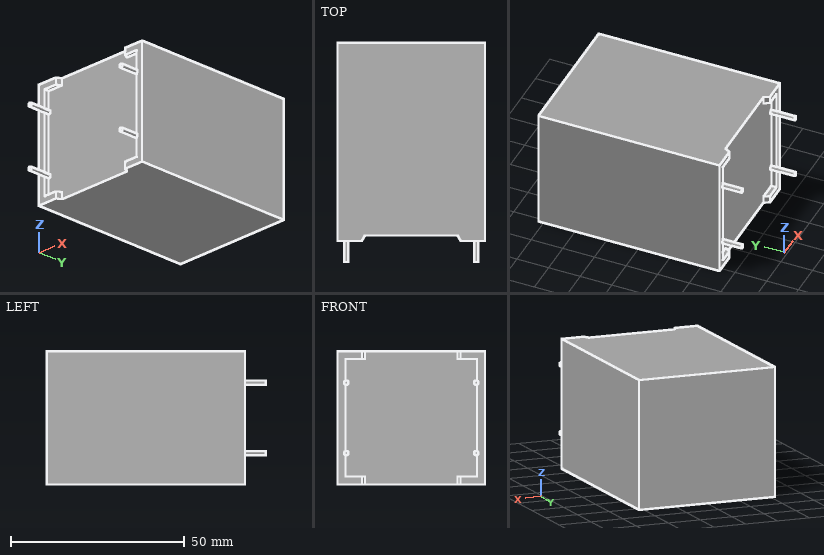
import cadquery as cq

WIDTH = 42.6
HEIGHT = 38.5
TOTAL_LENGTH = 63.3
PIN_LENGTH = 6.0
HOUSING_LENGTH = TOTAL_LENGTH - PIN_LENGTH

RECESS_DEPTH = 1.65
SIDE_WALL = 2.4
FOOT_WALL = 2.3
FOOT_TIP = 7.0
FOOT_ROOT = 8.0

PIN_DIAMETER = 1.25
PIN_PITCH_X = 37.5
PIN_PITCH_Z = 20.3
PIN_EMBED = 3.15

PIN_TIP_Y = -TOTAL_LENGTH / 2
FEET_Y = PIN_TIP_Y + PIN_LENGTH
FLOOR_Y = FEET_Y + RECESS_DEPTH
PIN_ROOT_Y = FLOOR_Y + PIN_EMBED

PIN_PLACES = [
    (side_x * PIN_PITCH_X / 2, side_z * PIN_PITCH_Z / 2)
    for side_x in (-1, 1)
    for side_z in (-1, 1)
]
INTEGRAL_PIN_PLACE = PIN_PLACES[0]
LOOSE_PIN_PLACES = PIN_PLACES[1:]


def make_pin(x, z):
    """Round pin along Y, from its tip to its embedded root."""
    return cq.Workplane(
        cq.Solid.makeCylinder(
            PIN_DIAMETER / 2,
            PIN_ROOT_Y - PIN_TIP_Y,
            cq.Vector(x, PIN_TIP_Y, z),
            cq.Vector(0, 1, 0),
        )
    )


def make_block():
    """Plain box of the housing, feet included."""
    return cq.Workplane("XY").box(WIDTH, HOUSING_LENGTH, HEIGHT).translate(
        (0, FEET_Y + HOUSING_LENGTH / 2, 0)
    )


def make_recess():
    """Rectangular pocket in the pin end."""
    return cq.Workplane("XY").box(
        WIDTH - 2 * SIDE_WALL, RECESS_DEPTH, HEIGHT - 2 * FOOT_WALL
    ).translate((0, FEET_Y + RECESS_DEPTH / 2, 0))


def make_notch():
    """Sloped-ended gap between the feet, open through both Z faces."""
    tip_x = WIDTH / 2 - FOOT_TIP
    root_x = WIDTH / 2 - FOOT_ROOT
    return (
        cq.Workplane("XY")
        .polyline([(-tip_x, FEET_Y), (tip_x, FEET_Y), (root_x, FLOOR_Y), (-root_x, FLOOR_Y)])
        .close()
        .extrude(HEIGHT / 2, both=True)
    )


def make_housing():
    """Housing with its recess, foot gap, pin holes and the one pin that is integral with it."""
    housing = make_block().cut(make_recess()).cut(make_notch())
    for x, z in LOOSE_PIN_PLACES:
        housing = housing.cut(make_pin(x, z))
    return housing.union(make_pin(*INTEGRAL_PIN_PLACE))


housing = make_housing()
pins = [make_pin(x, z) for x, z in LOOSE_PIN_PLACES]

result = cq.Compound.makeCompound([housing.val(), *[pin.val() for pin in pins]])